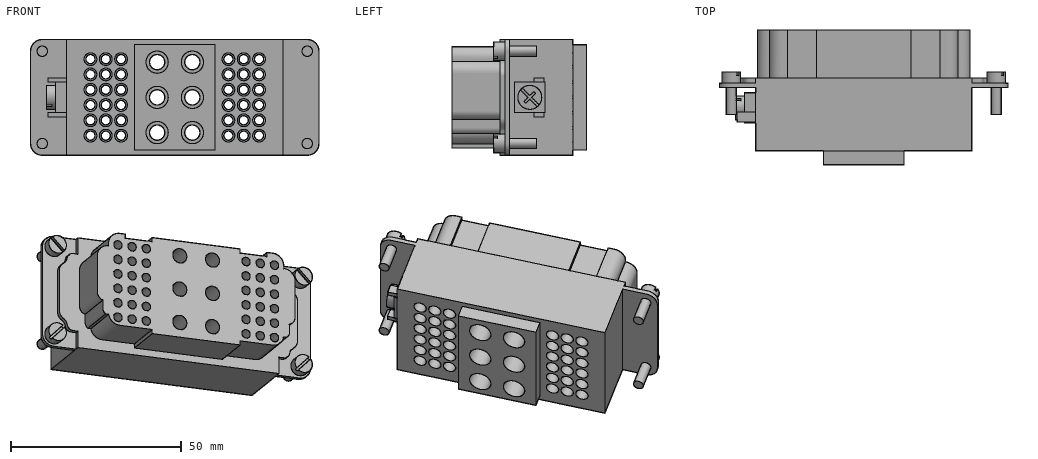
import cadquery as cq
import math


BODY_LENGTH = 63.4
HEIGHT = 34.0
BODY_DEPTH = 21.4
BLOCK_LENGTH = 23.7
BLOCK_HEIGHT = 30.85
BLOCK_DEPTH = 4.05

INSERT_DEPTH = 14.0
INSERT_HALF_LENGTH = 31.2
INSERT_HALF_HEIGHT = 14.9
KEY_HALF_LENGTH = 13.9
RECESS_LEVEL = 13.6
LOBE_RADIUS = 3.55
LOBE_SHOULDER_X = 22.3
UPPER_LOBE_STEP = 0.8
END_ROUND_RADIUS = 2.4
STEP_ROUND_RADIUS = 1.9
END_FACE_BOTTOM = -4.1
LOWER_STEP_X = 29.4
LOWER_STEP_BOTTOM = -9.0
STEP_ROUND_ANGLE = 58.0

FLANGE_LENGTH = 84.5
FLANGE_REAR = -1.5
FLANGE_THICKNESS = 1.35
FLANGE_CORNER_RADIUS = 3.5
PAD_HALF_HEIGHT = 11.9
PAD_SHOULDER_X = 33.0
PAD_WAIST = (35.1, 10.3)
PAD_INFLECTION = (36.3, 8.5)
PAD_END_X = 37.5
PAD_END_HALF_HEIGHT = 6.4
PAD_ARC_BULGE = 0.25
PAD_SHOULDER_BULGE = 0.5
SCREW_X = FLANGE_LENGTH / 2 - FLANGE_CORNER_RADIUS
SCREW_Z = HEIGHT / 2 - FLANGE_CORNER_RADIUS
SCREW_HEAD_DIAMETER = 5.5
SCREW_HEAD_HEIGHT = 3.3
SCREW_SHANK_DIAMETER = 3.0
SCREW_TIP_Y = -10.7
SCREW_SLOT_WIDTH = 0.8
SCREW_SLOT_DEPTH = 1.1

SIGNAL_PITCH = 4.5
SIGNAL_COLUMNS = 3
SIGNAL_ROWS = 6
SIGNAL_GROUP_X = 20.2
SIGNAL_ENTRY_DIAMETER = 3.7
SIGNAL_BORE_DIAMETER = 2.6
POWER_PITCH = 10.3
POWER_COLUMNS = 2
POWER_ROWS = 3
POWER_ENTRY_DIAMETER = 6.5
POWER_BORE_DIAMETER = 4.4

TERMINAL_Y = -8.8
TERMINAL_SIZE = 8.95
TERMINAL_THICKNESS = 3.3
TAB_THICKNESS = 1.3
TAB_PROJECTION = 5.4
TAB_WIDTH = 2.95
TAB_FRONT_Y = -12.9
EARTH_SCREW_DIAMETER = 7.0
EARTH_SCREW_PROJECTION = 5.9
EARTH_SLOT_WIDTH = 0.8
EARTH_SLOT_DEPTH = 1.6
EARTH_SHORT_SLOT_LENGTH = 4.05

BLOCK_FRONT = -(BODY_DEPTH + BLOCK_DEPTH)
TOTAL_DEPTH = INSERT_DEPTH - BLOCK_FRONT


def plane_at(y):
    """XZ sketch plane at the given Y; extrusions run toward +Y. Local x is +X, local y is -Z."""
    return cq.Workplane(cq.Plane(origin=(0, y, 0), xDir=(1, 0, 0), normal=(0, 1, 0)))


def box(x_range, y_range, z_range):
    """Box between the given limits on each axis."""
    low, high = zip(x_range, y_range, z_range)
    sizes = [b - a for a, b in zip(low, high)]
    return cq.Workplane("XY").box(*sizes, centered=False).translate(low)


def centered_block(length, height, y_front, depth):
    return plane_at(y_front).rect(length, height).extrude(depth)


def arc_points(center, radius, start_angle, end_angle):
    """Middle and end points of an arc, angles in degrees."""
    angles = (math.radians((start_angle + end_angle) / 2), math.radians(end_angle))
    return [(center[0] + radius * math.cos(a), center[1] + radius * math.sin(a)) for a in angles]


def extrude_mirrored(half_profile, depth):
    """Extrude a closed half outline (drawn in X, Z on the +X side) toward +Y and mirror it in X."""
    half = half_profile.close().extrude(-depth)
    return half.union(half.mirror("YZ"))


def mating_insert():
    """Keyed insert: two stacked lobes at each upper corner, smaller stepped lobes below."""
    outer_lobe_z = INSERT_HALF_HEIGHT - LOBE_RADIUS - UPPER_LOBE_STEP - LOBE_RADIUS
    upper_lobe = (INSERT_HALF_LENGTH - 2 * LOBE_RADIUS, INSERT_HALF_HEIGHT - LOBE_RADIUS)
    outer_lobe = (INSERT_HALF_LENGTH - LOBE_RADIUS, outer_lobe_z)
    end_round = (INSERT_HALF_LENGTH - END_ROUND_RADIUS, END_FACE_BOTTOM)
    end_round_angle = math.degrees(math.acos((LOWER_STEP_X - end_round[0]) / END_ROUND_RADIUS))
    step_round = (LOWER_STEP_X - STEP_ROUND_RADIUS, LOWER_STEP_BOTTOM)
    step_arc = arc_points(step_round, STEP_ROUND_RADIUS, 0, -STEP_ROUND_ANGLE)
    ledge_z = step_arc[1][1]
    bottom_lobe = (upper_lobe[0], LOBE_RADIUS - RECESS_LEVEL)
    bottom_lobe_angle = math.degrees(math.asin((ledge_z - bottom_lobe[1]) / LOBE_RADIUS))
    ledge_end_x = bottom_lobe[0] + LOBE_RADIUS * math.cos(math.radians(bottom_lobe_angle))

    profile = (
        cq.Workplane("XZ")
        .moveTo(0, INSERT_HALF_HEIGHT)
        .lineTo(KEY_HALF_LENGTH, INSERT_HALF_HEIGHT)
        .lineTo(KEY_HALF_LENGTH, RECESS_LEVEL)
        .lineTo(LOBE_SHOULDER_X, RECESS_LEVEL)
        .lineTo(LOBE_SHOULDER_X, INSERT_HALF_HEIGHT)
        .lineTo(upper_lobe[0], INSERT_HALF_HEIGHT)
        .threePointArc(*arc_points(upper_lobe, LOBE_RADIUS, 90, 0))
        .lineTo(outer_lobe[0], outer_lobe[1] + LOBE_RADIUS)
        .threePointArc(*arc_points(outer_lobe, LOBE_RADIUS, 90, 0))
        .lineTo(INSERT_HALF_LENGTH, END_FACE_BOTTOM)
        .threePointArc(*arc_points(end_round, END_ROUND_RADIUS, 0, -end_round_angle))
        .lineTo(LOWER_STEP_X, LOWER_STEP_BOTTOM)
        .threePointArc(*step_arc)
        .lineTo(ledge_end_x, ledge_z)
        .threePointArc(*arc_points(bottom_lobe, LOBE_RADIUS, bottom_lobe_angle, -90))
        .lineTo(KEY_HALF_LENGTH, -RECESS_LEVEL)
        .lineTo(KEY_HALF_LENGTH, -INSERT_HALF_HEIGHT)
        .lineTo(0, -INSERT_HALF_HEIGHT)
    )
    return extrude_mirrored(profile, INSERT_DEPTH)


def flange():
    """Thin plate with rounded corners."""
    plate = centered_block(FLANGE_LENGTH, HEIGHT, FLANGE_REAR - FLANGE_THICKNESS, FLANGE_THICKNESS)
    return plate.edges("|Y").fillet(FLANGE_CORNER_RADIUS)


def flange_pads():
    """Pads behind the flange ends, waisted by S-curves to clear the screw heads."""
    waist_x, waist_z = PAD_WAIST
    inflection_x, inflection_z = PAD_INFLECTION
    profile = (
        cq.Workplane("XZ", origin=(0, FLANGE_REAR, 0))
        .moveTo(0, PAD_HALF_HEIGHT)
        .lineTo(PAD_SHOULDER_X, PAD_HALF_HEIGHT)
        .sagittaArc(PAD_WAIST, PAD_SHOULDER_BULGE)
        .sagittaArc(PAD_INFLECTION, -PAD_ARC_BULGE)
        .sagittaArc((PAD_END_X, PAD_END_HALF_HEIGHT), PAD_ARC_BULGE)
        .lineTo(PAD_END_X, -PAD_END_HALF_HEIGHT)
        .sagittaArc((inflection_x, -inflection_z), PAD_ARC_BULGE)
        .sagittaArc((waist_x, -waist_z), -PAD_ARC_BULGE)
        .sagittaArc((PAD_SHOULDER_X, -PAD_HALF_HEIGHT), PAD_SHOULDER_BULGE)
        .lineTo(0, -PAD_HALF_HEIGHT)
    )
    return extrude_mirrored(profile, -FLANGE_REAR)


def flange_screw(x, z):
    """Screw with its head behind the flange and a diagonal driver slot."""
    head_top = FLANGE_REAR + SCREW_HEAD_HEIGHT
    shank = plane_at(SCREW_TIP_Y).circle(SCREW_SHANK_DIAMETER / 2).extrude(FLANGE_REAR - SCREW_TIP_Y)
    head = plane_at(FLANGE_REAR).circle(SCREW_HEAD_DIAMETER / 2).extrude(SCREW_HEAD_HEIGHT)
    slot_angle = -math.copysign(45, z)
    slot = (
        plane_at(head_top - SCREW_SLOT_DEPTH)
        .transformed(rotate=(0, 0, slot_angle))
        .rect(2 * SCREW_HEAD_DIAMETER, SCREW_SLOT_WIDTH)
        .extrude(SCREW_SLOT_DEPTH)
    )
    return shank.union(head.cut(slot)).translate((x, 0, z))


def earth_terminal():
    """Clamp block with two side tabs and a cross-slotted screw on the -X end."""
    end_x = -BODY_LENGTH / 2
    half = TERMINAL_SIZE / 2
    terminal = box(
        (end_x - TERMINAL_THICKNESS, end_x),
        (TERMINAL_Y - half, TERMINAL_Y + half),
        (-half, half),
    )
    upper_tab = box(
        (end_x - TAB_PROJECTION, end_x),
        (TAB_FRONT_Y, TAB_FRONT_Y + TAB_WIDTH),
        (half, half + TAB_THICKNESS),
    )
    terminal = terminal.union(upper_tab).union(upper_tab.mirror("XY"))

    def end_plane(x):
        return cq.Workplane(cq.Plane(origin=(x, TERMINAL_Y, 0), xDir=(0, -1, 0), normal=(-1, 0, 0)))

    screw_top = end_x - EARTH_SCREW_PROJECTION
    screw = end_plane(end_x).circle(EARTH_SCREW_DIAMETER / 2).extrude(EARTH_SCREW_PROJECTION)
    for angle, length in ((-45, 2 * EARTH_SCREW_DIAMETER), (45, EARTH_SHORT_SLOT_LENGTH)):
        slot = (
            end_plane(screw_top + EARTH_SLOT_DEPTH)
            .transformed(rotate=(0, 0, angle))
            .rect(length, EARTH_SLOT_WIDTH)
            .extrude(EARTH_SLOT_DEPTH)
        )
        screw = screw.cut(slot)
    return terminal.union(screw)


def contact_holes(center_x, pitch, columns, rows, entry_diameter, bore_diameter):
    """Grid of stepped holes running the full depth, narrowing at Y = 0."""
    def drill_grid(diameter, depth):
        return (
            plane_at(BLOCK_FRONT)
            .center(center_x, 0)
            .rarray(pitch, pitch, columns, rows)
            .circle(diameter / 2)
            .extrude(depth)
        )

    return drill_grid(bore_diameter, TOTAL_DEPTH).union(drill_grid(entry_diameter, -BLOCK_FRONT))


result = (
    centered_block(BODY_LENGTH, HEIGHT, -BODY_DEPTH, BODY_DEPTH)
    .union(centered_block(BLOCK_LENGTH, BLOCK_HEIGHT, BLOCK_FRONT, BLOCK_DEPTH))
    .union(mating_insert())
    .union(flange())
    .union(flange_pads())
    .union(earth_terminal())
)

for screw_x in (-SCREW_X, SCREW_X):
    for screw_z in (-SCREW_Z, SCREW_Z):
        result = result.union(flange_screw(screw_x, screw_z))

for group_x in (-SIGNAL_GROUP_X, SIGNAL_GROUP_X):
    result = result.cut(
        contact_holes(
            group_x,
            SIGNAL_PITCH,
            SIGNAL_COLUMNS,
            SIGNAL_ROWS,
            SIGNAL_ENTRY_DIAMETER,
            SIGNAL_BORE_DIAMETER,
        )
    )

result = result.cut(
    contact_holes(0, POWER_PITCH, POWER_COLUMNS, POWER_ROWS, POWER_ENTRY_DIAMETER, POWER_BORE_DIAMETER)
)